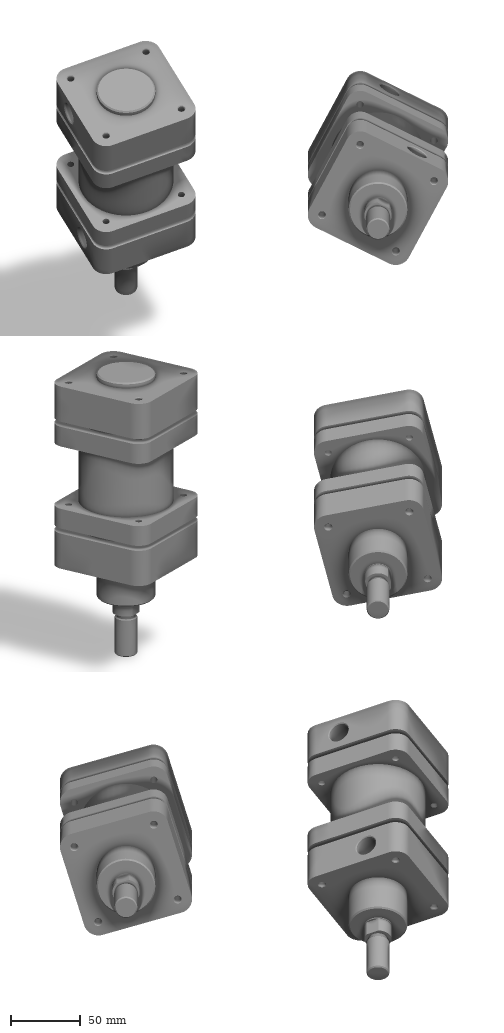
import cadquery as cq


overall_length = 216.0
boss_height = 4.0
cap_height = 27.0
gap = 3.9
flange_height = 15.1
barrel_between_flanges = 48.0
nose_length = 28.0
shoulder_length = 11.9

barrel_length = barrel_between_flanges + 2 * (flange_height + gap)
rear_cap_z = overall_length - boss_height - cap_height
barrel_z = rear_cap_z - barrel_length
front_cap_z = barrel_z - cap_height
nose_z = front_cap_z - nose_length
shoulder_z = nose_z - shoulder_length
flange_z_levels = (barrel_z + gap, rear_cap_z - gap - flange_height)

side = 80.0
corner_radius = 10.5
bolt_pitch = 59.5
bolt_diameter = 5.0
bolt_chamfer = 0.5
bolt_depth = 13.0

spigot_diameter = 42.0
spigot_chamfer = 1.0
barrel_diameter = 68.0

port_diameter = 15.3
port_chamfer = 0.6
port_depth = 15.1
port_offset = 11.0

rod_diameter = 20.0
rod_collar_height = 0.9
wrench_diameter = 19.5
wrench_flats = 17.0
neck_diameter = 13.5
neck_length = 3.2
thread_diameter = 16.2
thread_tip_chamfer = 0.9
thread_root_chamfer = 0.5


def cylinder(diameter, height, z):
    """Upright cylinder on the axis, with its bottom at z."""
    return cq.Workplane("XY", origin=(0, 0, z)).circle(diameter / 2).extrude(height)


def rounded_block(height, z):
    """Square block with rounded vertical edges, with its bottom at z."""
    block = cq.Workplane("XY", origin=(0, 0, z)).rect(side, side).extrude(height)
    return block.edges("|Z").fillet(corner_radius)


def blind_hole(mouth, inward, diameter, depth, chamfer):
    """Cutter for a blind hole with a chamfered mouth, running from a point in a direction."""
    point = cq.Vector(*mouth)
    direction = cq.Vector(*inward)
    bore = cq.Solid.makeCylinder(diameter / 2, depth, point, direction)
    cone = cq.Solid.makeCone(diameter / 2 + chamfer, diameter / 2, chamfer, point, direction)
    return bore.fuse(cone)


def bolt_positions():
    """The X and Y of the four bolt holes."""
    reach = bolt_pitch / 2
    return [(x, y) for x in (-reach, reach) for y in (-reach, reach)]


def make_cap(z, spigot, outer_z, inward, port_x):
    """Cap with a spigot and four bolt holes on its outer face, and a port in its -Y face."""
    cap = rounded_block(cap_height, z).union(spigot)
    for x, y in bolt_positions():
        cap = cap.cut(blind_hole((x, y, outer_z), inward, bolt_diameter, bolt_depth, bolt_chamfer))
    port_mouth = (port_x, -side / 2, z + cap_height / 2)
    return cap.cut(blind_hole(port_mouth, (0, 1, 0), port_diameter, port_depth, port_chamfer))


def make_rear_cap():
    top_z = rear_cap_z + cap_height
    boss = cylinder(spigot_diameter, boss_height, top_z)
    boss = boss.faces(">Z").edges().chamfer(spigot_chamfer)
    return make_cap(rear_cap_z, boss, top_z, (0, 0, -1), -port_offset)


def make_front_cap():
    nose = cylinder(spigot_diameter, nose_length, nose_z)
    nose = nose.faces("<Z").edges().chamfer(spigot_chamfer)
    return make_cap(front_cap_z, nose, front_cap_z, (0, 0, 1), port_offset)


def make_barrel():
    """Round barrel between the two caps, passing through both flanges."""
    return cylinder(barrel_diameter, barrel_length, barrel_z)


def make_flange(z):
    """Square flange around the barrel, with four through holes."""
    flange = rounded_block(flange_height, z).cut(cylinder(barrel_diameter, flange_height, z))
    bolt_holes = (
        cq.Workplane("XY", origin=(0, 0, z))
        .pushPoints(bolt_positions())
        .circle(bolt_diameter / 2)
        .extrude(flange_height)
    )
    return flange.cut(bolt_holes)


def make_rod():
    """Rod end: collar against the nose, shoulder with two wrench flats, neck and thread."""
    collar = cylinder(rod_diameter, rod_collar_height, nose_z - rod_collar_height)

    wrench_height = shoulder_length - rod_collar_height
    between_flats = (
        cq.Workplane("XY", origin=(0, 0, shoulder_z))
        .rect(wrench_diameter, wrench_flats)
        .extrude(wrench_height)
    )
    shoulder = cylinder(wrench_diameter, wrench_height, shoulder_z).intersect(between_flats)

    thread_length = shoulder_z - neck_length
    neck = cylinder(neck_diameter, neck_length, thread_length)
    thread = cylinder(thread_diameter, thread_length, 0)
    thread = thread.faces("<Z").edges().chamfer(thread_tip_chamfer)
    thread = thread.faces(">Z").edges().chamfer(thread_root_chamfer)
    return collar.union(shoulder).union(neck).union(thread)


rear_cap = make_rear_cap()
front_cap = make_front_cap()
barrel = make_barrel()
flanges = [make_flange(z) for z in flange_z_levels]
rod = make_rod()

result = cq.Compound.makeCompound(
    [rear_cap.val(), front_cap.val(), barrel.val(), *[flange.val() for flange in flanges], rod.val()]
)